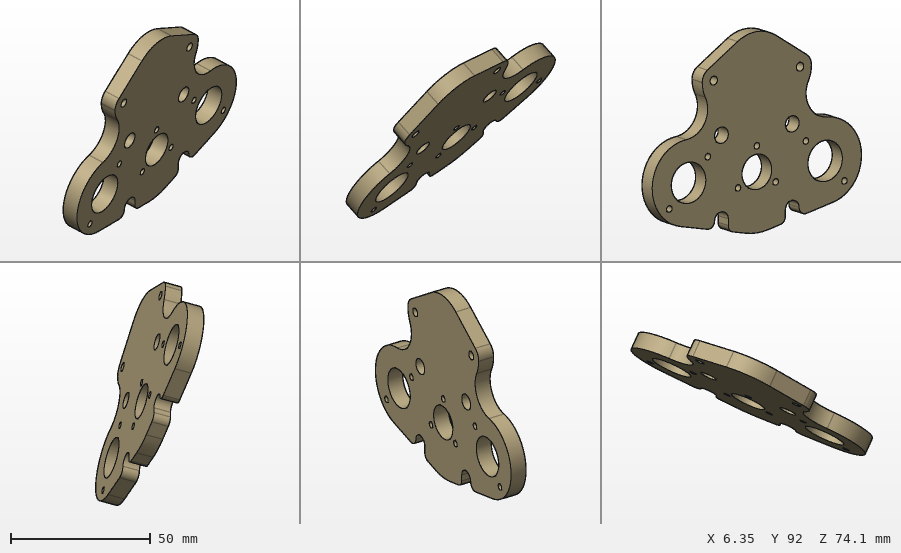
import cadquery as cq
import math

thickness = 6.35
overall_width = 92.0

lobe_radius = 16.0
lobe_y = overall_width / 2 - lobe_radius
lobe_bore_diameter = 15.1
center_bore_diameter = 13.0

bottom_radius = 22.45
crown_radius = 15.5
ear_radius = 5.1
waist_radius = 10.0
waist_half_width = 21.6

ear_hole_diameter = 3.2
ear_y = 18.95
ear_z = 36.1
screw_diameter = 2.4
center_screw_circle = 9.6
lobe_screw_offset = 8.5
post_diameter = 6.0
post_offset = 15.55

notch_corner_radius = 2.8


def yz_plane():
    """Workplane on the -X face; extruding the thickness from it centers on X = 0."""
    return cq.Workplane("YZ", origin=(-thickness / 2, 0, 0))


def polar(center, radius, angle):
    """Point on a circle, with the angle in radians from +Y toward +Z."""
    return (center[0] + radius * math.cos(angle), center[1] + radius * math.sin(angle))


def mirrored(points):
    """Points reflected about the center plane, in reverse order."""
    return [(-y, z) for y, z in reversed(points)]


def make_plate():
    lobe = (lobe_y, 0)
    ear = (ear_y, ear_z)
    crown = (0, ear_z)

    lower_angle = math.asin((bottom_radius - lobe_radius) / lobe_y) - math.pi / 2
    bottom_end = polar((0, 0), bottom_radius, lower_angle)
    lobe_start = polar(lobe, lobe_radius, lower_angle)

    waist_y = waist_half_width + waist_radius
    center_distance = lobe_radius + waist_radius
    waist_angle = math.acos((waist_y - lobe_y) / center_distance)
    waist = polar(lobe, center_distance, waist_angle)
    lobe_end = polar(lobe, lobe_radius, waist_angle)

    ear_side = (ear_y + ear_radius, ear_z)
    gap = waist_y - ear_side[0]
    drop = ear_z - waist[1]
    shoulder_radius = (gap**2 + drop**2 - waist_radius**2) / (2 * (waist_radius - gap))
    shoulder = (ear_side[0] - shoulder_radius, ear_z)
    shoulder_angle = -math.asin(drop / (shoulder_radius + waist_radius))
    waist_end = polar(shoulder, shoulder_radius, shoulder_angle)
    shoulder_middle = polar(shoulder, shoulder_radius, shoulder_angle / 2)

    upper_angle = math.acos((crown_radius - ear_radius) / ear_y)
    ear_end = polar(ear, ear_radius, upper_angle)
    crown_end = polar(crown, crown_radius, upper_angle)

    waist_middle = (waist_half_width, waist[1])
    lobe_middle = polar(lobe, lobe_radius, 0)
    ear_middle = polar(ear, ear_radius, upper_angle / 2)

    lobe_to_ear = [
        lobe_start, lobe_middle, lobe_end, waist_middle, waist_end,
        shoulder_middle, ear_side, ear_middle, ear_end,
    ]
    ear_to_lobe = mirrored(lobe_to_ear)

    outline = yz_plane().moveTo(*bottom_end).lineTo(*lobe_start)
    for middle, end in zip(lobe_to_ear[1::2], lobe_to_ear[2::2]):
        outline = outline.threePointArc(middle, end)
    outline = outline.lineTo(*crown_end)
    outline = outline.threePointArc((0, ear_z + crown_radius), (-crown_end[0], crown_end[1]))
    outline = outline.lineTo(*ear_to_lobe[0])
    for middle, end in zip(ear_to_lobe[1::2], ear_to_lobe[2::2]):
        outline = outline.threePointArc(middle, end)
    outline = outline.lineTo(-bottom_end[0], bottom_end[1])
    outline = outline.threePointArc((0, -bottom_radius), bottom_end)
    return outline.close().extrude(thickness)


def cut_notches(plate):
    """Cut two round-topped notches in the lower edge and round their mouths."""
    half_width = post_diameter / 2
    notch_depth = bottom_radius
    for side in (-1, 1):
        notch_y = side * post_offset
        notch = (
            yz_plane()
            .moveTo(notch_y - half_width, -post_offset)
            .threePointArc((notch_y, half_width - post_offset), (notch_y + half_width, -post_offset))
            .line(0, -notch_depth)
            .line(-post_diameter, 0)
            .close()
            .extrude(thickness)
        )
        plate = plate.cut(notch)

    slope_angle = math.asin((bottom_radius - lobe_radius) / lobe_y)
    for side in (-1, 1):
        for wall_y in (post_offset - half_width, post_offset + half_width):
            corner_z = wall_y * math.tan(slope_angle) - bottom_radius / math.cos(slope_angle)
            corner = cq.selectors.NearestToPointSelector((0, side * wall_y, corner_z))
            plate = plate.edges("|X").edges(corner).fillet(notch_corner_radius)
    return plate


def cut_holes(plate, diameter, centers):
    holes = (
        yz_plane()
        .pushPoints(centers)
        .circle(diameter / 2)
        .extrude(thickness)
    )
    return plate.cut(holes)


center_screws = [
    polar((0, 0), center_screw_circle, math.radians(angle)) for angle in (90, 210, 330)
]
lobe_screws = [
    (side * (lobe_y + offset), -offset)
    for side in (-1, 1)
    for offset in (-lobe_screw_offset, lobe_screw_offset)
]

result = cut_notches(make_plate())
result = cut_holes(result, center_bore_diameter, [(0, 0)])
result = cut_holes(result, lobe_bore_diameter, [(-lobe_y, 0), (lobe_y, 0)])
result = cut_holes(result, post_diameter, [(-post_offset, post_offset), (post_offset, post_offset)])
result = cut_holes(result, ear_hole_diameter, [(-ear_y, ear_z), (ear_y, ear_z)])
result = cut_holes(result, screw_diameter, center_screws + lobe_screws)